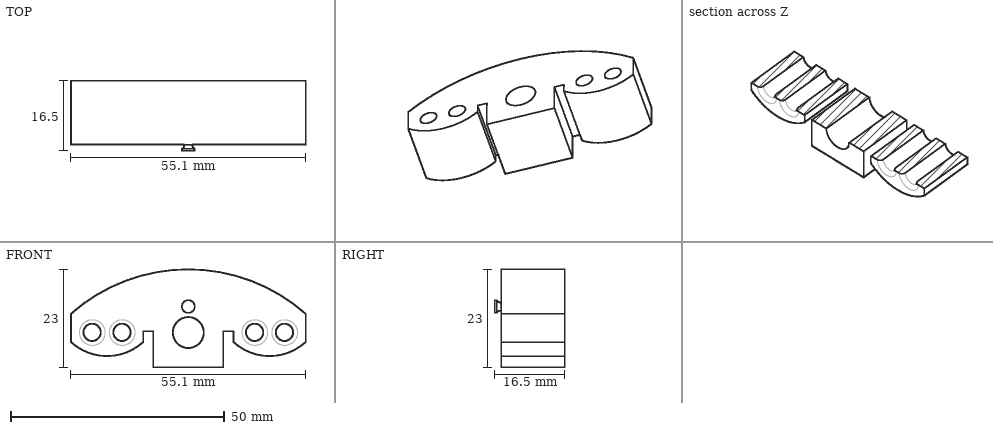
import cadquery as cq
import math

LENGTH = 55.1
THICKNESS = 15.0
HEIGHT = 23.0
TOP_Z = 14.85
BOTTOM_Z = TOP_Z - HEIGHT
CROWN_RADIUS = 41.5

EAR_WIDTH = 17.0
EAR_BOTTOM_Z = -5.55
EAR_RADIUS = 12.5

TONGUE_WIDTH = 16.5
NOTCH_TOP_Z = 0.3

BORE_DIAMETER = 7.2
EAR_HOLE_DIAMETER = 4.0
EAR_HOLE_SPACING = 7.0
EAR_HOLE_ROUNDING = 1.0
EAR_HOLE_Z = 0.05

PIN_Z = 6.1
PIN_LENGTH = 1.5
PIN_NECK_DIAMETER = 2.0
PIN_HEAD_DIAMETER = 3.0
PIN_HEAD_THICKNESS = 0.5
PIN_NECK_STRAIGHT_LENGTH = 0.2

half_length = LENGTH / 2
ear_inner_x = half_length - EAR_WIDTH
ear_center_x = half_length - EAR_WIDTH / 2


def arc_rise(radius, chord):
    """Height of a circular arc above its chord."""
    return radius - math.sqrt(radius**2 - (chord / 2) ** 2)


def make_body():
    shoulder_z = TOP_Z - arc_rise(CROWN_RADIUS, LENGTH)
    ear_edge_z = EAR_BOTTOM_Z + arc_rise(EAR_RADIUS, EAR_WIDTH)
    tongue_x = TONGUE_WIDTH / 2
    return (
        cq.Workplane("XZ")
        .moveTo(-half_length, shoulder_z)
        .threePointArc((0, TOP_Z), (half_length, shoulder_z))
        .lineTo(half_length, ear_edge_z)
        .threePointArc((ear_center_x, EAR_BOTTOM_Z), (ear_inner_x, ear_edge_z))
        .lineTo(ear_inner_x, NOTCH_TOP_Z)
        .lineTo(tongue_x, NOTCH_TOP_Z)
        .lineTo(tongue_x, BOTTOM_Z)
        .lineTo(-tongue_x, BOTTOM_Z)
        .lineTo(-tongue_x, NOTCH_TOP_Z)
        .lineTo(-ear_inner_x, NOTCH_TOP_Z)
        .lineTo(-ear_inner_x, ear_edge_z)
        .threePointArc((-ear_center_x, EAR_BOTTOM_Z), (-half_length, ear_edge_z))
        .close()
        .extrude(-THICKNESS)
    )


def make_bore():
    return cq.Workplane("XZ").circle(BORE_DIAMETER / 2).extrude(-THICKNESS)


def make_ear_hole(x):
    """Through hole whose front mouth flares out with a convex rounding."""
    radius = EAR_HOLE_DIAMETER / 2
    rounding = EAR_HOLE_ROUNDING
    mid_offset = rounding * (1 - math.sqrt(0.5))
    return (
        cq.Workplane("XY")
        .moveTo(0, 0)
        .lineTo(radius + rounding, 0)
        .threePointArc((radius + mid_offset, mid_offset), (radius, rounding))
        .lineTo(radius, THICKNESS)
        .lineTo(0, THICKNESS)
        .close()
        .revolve(360, (0, 0, 0), (0, 1, 0))
        .translate((x, 0, EAR_HOLE_Z))
    )


def make_pin():
    """Pin with a disc head; its short neck flares to the head along a concave arc."""
    neck_radius = PIN_NECK_DIAMETER / 2
    head_radius = PIN_HEAD_DIAMETER / 2
    head_back_y = PIN_HEAD_THICKNESS - PIN_LENGTH
    flare_start_y = -PIN_NECK_STRAIGHT_LENGTH
    flare_length = flare_start_y - head_back_y
    flare = head_radius - neck_radius
    flare_radius = (flare_length**2 + flare**2) / (2 * flare)
    half_angle = math.asin(flare_length / flare_radius) / 2
    flare_middle = (
        neck_radius + flare_radius * (1 - math.cos(half_angle)),
        flare_start_y - flare_radius * math.sin(half_angle),
    )
    return (
        cq.Workplane("XY")
        .moveTo(0, 0)
        .lineTo(neck_radius, 0)
        .lineTo(neck_radius, flare_start_y)
        .threePointArc(flare_middle, (head_radius, head_back_y))
        .lineTo(head_radius, -PIN_LENGTH)
        .lineTo(0, -PIN_LENGTH)
        .close()
        .revolve(360, (0, 0, 0), (0, 1, 0))
        .translate((0, 0, PIN_Z))
    )


result = make_body().cut(make_bore())
for side in (-1, 1):
    for offset in (-EAR_HOLE_SPACING / 2, EAR_HOLE_SPACING / 2):
        result = result.cut(make_ear_hole(side * ear_center_x + offset))
result = result.union(make_pin())